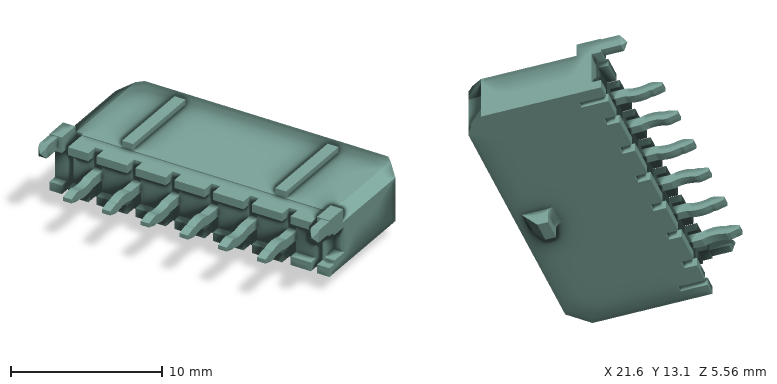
import cadquery as cq


width = 21.65
half_width = width / 2
body_height = 3.83
end_wall_y = -9.18
corner_cut = 1.4
bevel_width = 0.95
bevel_height = 0.48

tab_end_y = -9.85
lower_tab_top = 0.67
upper_tab_bottom = 3.15
tab_step_y = -8.12
tab_step_depth = 0.06

ear_width = bevel_width
ear_top = 4.35
slot_width = 0.48
slot_start_y = -7.95

peg_width = 0.63
peg_bottom = 3.35
peg_top = 4.28
peg_slope_y = -11.12
peg_end_y = -11.25
peg_tip_y = -11.6
peg_tip_z = 3.79
peg_slope = (peg_top - peg_tip_z) / (peg_slope_y - peg_tip_y)
peg_end_top = peg_tip_z + peg_slope * (peg_end_y - peg_tip_y)

pocket_width = 0.78
pocket_bottom = 0.93
pocket_top = 2.9

rib_width = 0.85
rib_front_y = -corner_cut
rib_spacing = 11.84
rib_offset = 0.09

latch_width = 1.58
latch_depth = 1.21
latch_ramp_start_y = -0.63
latch_ramp_end_y = -1.73
latch_rear_y = -2.49
latch_fillet = 0.43

pin_count = 6
pin_row_length = 15.0
pin_pitch = pin_row_length / (pin_count - 1)
pin_width = 0.65
pin_root_y = -8.95
pin_bottom = 1.55
pin_top = 2.25
bend_start_y = -10.43
bend_end_y = -12.12
bend_height = 0.15
taper_start_y = -12.38
pin_end_y = -13.07
pin_tip_height = 0.3


def block(x_range, y_range, z_range):
    """Box spanning the given ranges."""
    x0, x1 = x_range
    y0, y1 = y_range
    z0, z1 = z_range
    return cq.Workplane("XY").box(x1 - x0, y1 - y0, z1 - z0, centered=False).translate((x0, y0, z0))


def side_profile(x):
    """Sketch plane at the given X; sketch coordinates are (Y, Z) and extrusion goes to +X."""
    return cq.Workplane("YZ", origin=(x, 0, 0))


def both_ends(shape):
    """The shape together with its mirror image at the other end of the part."""
    return shape.union(shape.mirror("YZ"))


def housing():
    """Block with bevelled upper side edges, cut corners and slotted tabs at the rear."""
    body = (
        cq.Workplane("XZ")
        .moveTo(-half_width, 0)
        .lineTo(half_width, 0)
        .lineTo(half_width, body_height - bevel_height)
        .lineTo(half_width - bevel_width, body_height)
        .lineTo(-half_width + bevel_width, body_height)
        .lineTo(-half_width, body_height - bevel_height)
        .close()
        .extrude(-tab_end_y)
    )
    corner = (
        cq.Workplane("XY")
        .moveTo(-half_width, 0)
        .lineTo(-half_width + corner_cut, 0)
        .lineTo(-half_width, -corner_cut)
        .close()
        .extrude(body_height)
    )
    gap = (lower_tab_top, upper_tab_bottom)
    corner_notch = block((-half_width, -half_width + corner_cut), (-corner_cut, 0), gap)
    rear_gap = block((-half_width, half_width), (tab_end_y, end_wall_y), gap)
    roof_step = block(
        (-half_width, half_width), (tab_end_y, tab_step_y), (body_height - tab_step_depth, body_height)
    )
    return body.cut(both_ends(corner.union(corner_notch))).cut(rear_gap).cut(roof_step)


def ear():
    """Raised ear at the -X end with its pointed mounting peg."""
    raised = block(
        (-half_width, -half_width + ear_width), (tab_end_y, tab_step_y), (upper_tab_bottom, ear_top)
    )
    peg = (
        side_profile(-half_width)
        .moveTo(tab_end_y, peg_bottom)
        .lineTo(peg_end_y, peg_bottom)
        .lineTo(peg_end_y, peg_end_top)
        .lineTo(peg_slope_y, peg_top)
        .lineTo(tab_end_y, peg_top)
        .close()
        .extrude(peg_width)
    )
    return raised.union(peg).union(peg_point())


def peg_point():
    """Four-sided pyramid closing the end of the peg."""
    left = -half_width
    right = -half_width + peg_width
    base = [
        cq.Vector(left, peg_end_y, peg_bottom),
        cq.Vector(right, peg_end_y, peg_bottom),
        cq.Vector(right, peg_end_y, peg_end_top),
        cq.Vector(left, peg_end_y, peg_end_top),
    ]
    tip = cq.Vector((left + right) / 2, peg_tip_y, peg_tip_z)
    faces = [cq.Face.makeFromWires(cq.Wire.makePolygon(base, close=True))]
    for start, end in zip(base, base[1:] + base[:1]):
        faces.append(cq.Face.makeFromWires(cq.Wire.makePolygon([start, end, tip], close=True)))
    return cq.Workplane(cq.Solid.makeSolid(cq.Shell.makeShell(faces)))


def ear_slot():
    """Full-height slot between the -X ear and the tabs."""
    inner = -half_width + ear_width
    return block((inner, inner + slot_width), (tab_end_y, slot_start_y), (0, body_height))


def ear_pocket():
    """Pocket in the rear wall of the +X ear, as long as the slot beside it."""
    return block(
        (half_width - pocket_width, half_width), (end_wall_y, slot_start_y), (pocket_bottom, pocket_top)
    )


def rib(x):
    """Rib standing on the roof."""
    return block((x - rib_width / 2, x + rib_width / 2), (tab_step_y, rib_front_y), (body_height, ear_top))


def latch():
    """Ramped latch under the housing with a hollow fillet at its rear root."""
    return (
        side_profile(-latch_width / 2)
        .moveTo(latch_ramp_start_y, 0)
        .lineTo(latch_ramp_end_y, -latch_depth)
        .lineTo(latch_rear_y, -latch_depth)
        .lineTo(latch_rear_y, -latch_fillet)
        .radiusArc((latch_rear_y - latch_fillet, 0), -latch_fillet)
        .close()
        .extrude(latch_width)
    )


def pin_groove(x):
    """Full-height groove through the tabs and into the rear wall."""
    return block((x - pin_width / 2, x + pin_width / 2), (tab_end_y, pin_root_y), (0, body_height))


def pin(x, bend):
    """Flat pin bowed up or down by the given height before its tapered tip."""
    bend_middle_y = (bend_start_y + bend_end_y) / 2
    pin_middle = (pin_bottom + pin_top) / 2
    return (
        side_profile(x - pin_width / 2)
        .moveTo(pin_root_y, pin_top)
        .lineTo(bend_start_y, pin_top)
        .threePointArc((bend_middle_y, pin_top + bend), (bend_end_y, pin_top))
        .lineTo(taper_start_y, pin_top)
        .lineTo(pin_end_y, pin_middle + pin_tip_height / 2)
        .lineTo(pin_end_y, pin_middle - pin_tip_height / 2)
        .lineTo(taper_start_y, pin_bottom)
        .lineTo(bend_end_y, pin_bottom)
        .threePointArc((bend_middle_y, pin_bottom + bend), (bend_start_y, pin_bottom))
        .lineTo(pin_root_y, pin_bottom)
        .close()
        .extrude(pin_width)
    )


result = housing().union(both_ends(ear())).cut(both_ends(ear_slot())).cut(ear_pocket())
result = result.union(latch())

for side in (-1, 1):
    result = result.union(rib(rib_offset + side * rib_spacing / 2))

for index in range(pin_count):
    pin_x = index * pin_pitch - pin_row_length / 2
    pin_bend = -bend_height if index % 2 == 0 else bend_height
    result = result.cut(pin_groove(pin_x)).union(pin(pin_x, pin_bend))